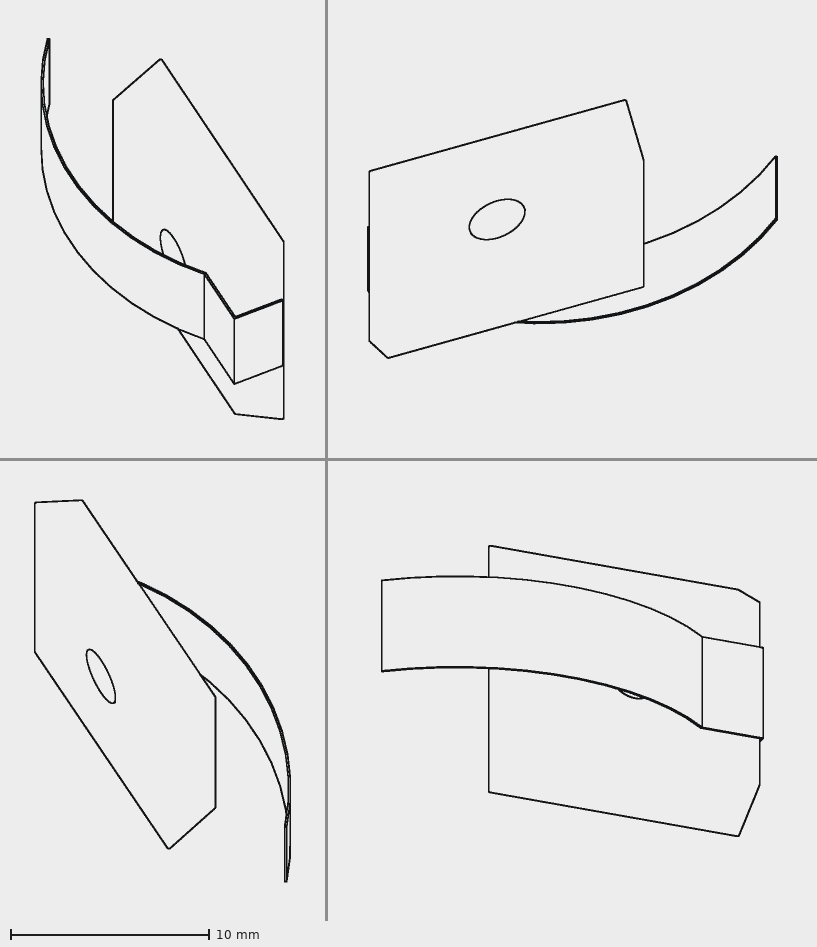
import cadquery as cq
import math


total_length = 21.0
block_length = 13.8
block_depth = 2.8
back_height = 13.8
front_height = 10.08
edge_radius = 0.1
hole_diameter = 2.98

strip_thickness = 0.1
strip_width = 5.0
bow_radius = 14.0
bow_center_x = 8.85
spring_reach = 6.0
flange_setback = 0.17

block_right = total_length - strip_thickness
block_left = block_right - block_length
bow_center_y = bow_radius - spring_reach
inner_bow_radius = bow_radius - strip_thickness


def make_block():
    """Dovetail block with rounded edges and a through hole at its centre."""
    block = (
        cq.Workplane("YZ", origin=(block_left, 0, 0))
        .moveTo(0, -back_height / 2)
        .lineTo(0, back_height / 2)
        .lineTo(-block_depth, front_height / 2)
        .lineTo(-block_depth, -front_height / 2)
        .close()
        .extrude(block_length)
        .edges()
        .fillet(edge_radius)
    )
    hole = (
        cq.Workplane("XZ", origin=(block_left + block_length / 2, 0, 0))
        .circle(hole_diameter / 2)
        .extrude(block_depth)
    )
    return block.cut(hole)


def bow_point(radius, angle):
    """Point on a bow circle, with the angle measured from the -Y direction towards +X."""
    return (
        bow_center_x + radius * math.sin(angle),
        bow_center_y - radius * math.cos(angle),
    )


def make_spring():
    """Bowed strip that runs flat over the block front and folds around its +X end."""
    plate_outer_y = -block_depth - strip_thickness
    free_angle = -math.asin(bow_center_x / bow_radius)
    outer_joint_angle = math.acos((bow_center_y - plate_outer_y) / bow_radius)
    inner_joint_angle = math.acos((bow_center_y + block_depth) / inner_bow_radius)
    profile = (
        cq.Workplane("XY", origin=(0, 0, -strip_width / 2))
        .moveTo(*bow_point(bow_radius, free_angle))
        .threePointArc(bow_point(bow_radius, 0), bow_point(bow_radius, outer_joint_angle))
        .lineTo(total_length, plate_outer_y)
        .lineTo(total_length, -flange_setback)
        .lineTo(block_right, -flange_setback)
        .lineTo(block_right, -block_depth)
        .lineTo(*bow_point(inner_bow_radius, inner_joint_angle))
        .threePointArc(bow_point(inner_bow_radius, 0), bow_point(inner_bow_radius, free_angle))
        .close()
    )
    return profile.extrude(strip_width)


result = make_block().union(make_spring())